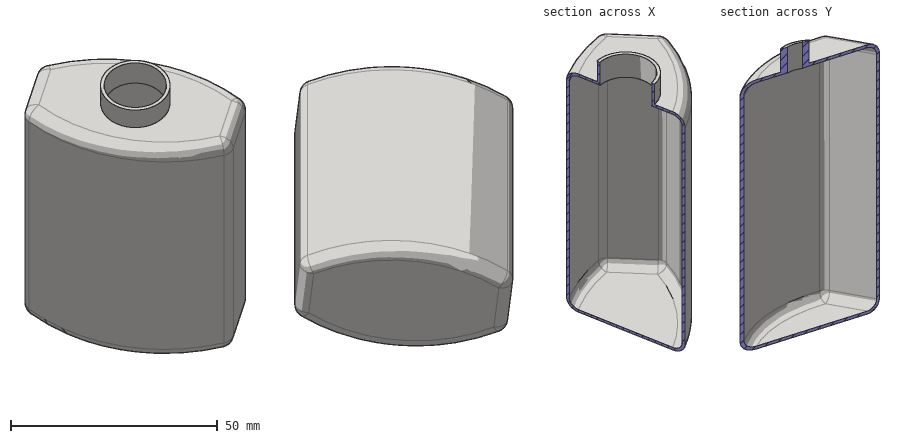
import cadquery as cq

total_height = 77.9
neck_height = 6.1
body_height = total_height - neck_height

cavity_length = 50.0
end_width = 15.0
bulge = 7.5
cavity_round = 2.5

neck_bore_diameter = 15.0
neck_outer_diameter = 16.8
wall = (neck_outer_diameter - neck_bore_diameter) / 2

turn_angle = 30.0


def bulged_block(height, edge_round, bottom, growth):
    """Rounded block whose walls lie the given growth outside the cavity walls."""
    half_length = cavity_length / 2
    half_end = end_width / 2
    cavity_arc_radius = (half_length**2 + bulge**2) / (2 * bulge)
    arc_center = half_end + bulge - cavity_arc_radius

    end_x = half_length + growth
    side_y = half_end + bulge + growth
    corner_y = arc_center + ((cavity_arc_radius + growth)**2 - end_x**2)**0.5
    return (
        cq.Workplane("XY", origin=(0, 0, bottom))
        .moveTo(-end_x, -corner_y)
        .lineTo(-end_x, corner_y)
        .threePointArc((0, side_y), (end_x, corner_y))
        .lineTo(end_x, -corner_y)
        .threePointArc((0, -side_y), (-end_x, -corner_y))
        .close()
        .extrude(height)
        .edges()
        .fillet(edge_round)
    )


body = bulged_block(body_height, cavity_round + wall, 0, wall)
neck_start = body_height - wall
neck = (
    cq.Workplane("XY", origin=(0, 0, neck_start))
    .circle(neck_outer_diameter / 2)
    .extrude(total_height - neck_start)
)

cavity = bulged_block(body_height - 2 * wall, cavity_round, wall, 0)
bore_start = body_height / 2
bore = (
    cq.Workplane("XY", origin=(0, 0, bore_start))
    .circle(neck_bore_diameter / 2)
    .extrude(total_height - bore_start)
)

bottle = body.union(neck).cut(cavity).cut(bore)
result = bottle.rotate((0, 0, 0), (0, 0, 1), turn_angle)